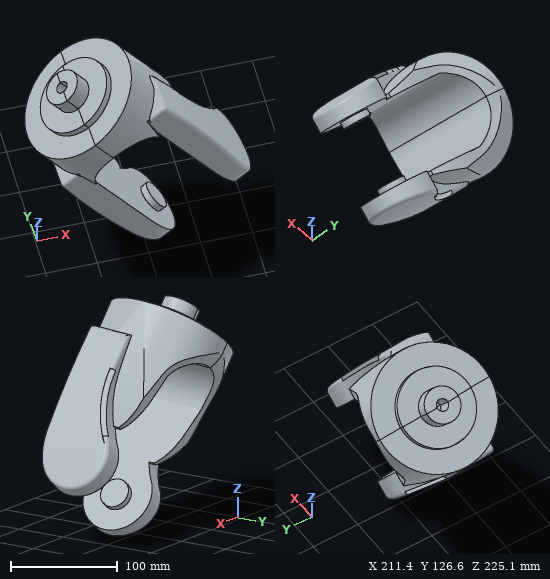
import cadquery as cq
FORK_ORIGIN = (-55.2, 0.2, 75.0)
ACROSS_ARMS = (0.793, 0.058, 0.603)
UP_STEM = (-0.607, 0.05, 0.793)

CROWN_DIAMETER = 125.3
CROWN_RADIUS = CROWN_DIAMETER / 2
FLANGE_DIAMETER = 78.0
FLANGE_HEIGHT = 7.0
STEM_DIAMETER = 36.0
STEM_TOP = 25.0
HOLE_DIAMETER = 12.0

INNER_HALF_GAP = 39.2
ARCH_TOP = -28.5
ARCH_SPRING = -58.5

ARM_FRONT = -44.6
ARM_TOP = -35.2
ARM_BACK = 0.5
WAIST_START = -73.2
WAIST_END = (20.3, -136.3)
TIP_BOTTOM = (-5.6, -195.5)
TIP_FRONT = (-39.0, -173.5)
FRONT_FLAT_END = -145.3

OUTER_TOP = 64.5
OUTER_MIDDLE = 66.0
OUTER_TIP = 55.2
BOW_MIDDLE = -103.7
ARM_FILLET = 4.0

SKIRT_FRONT_BOTTOM = -56.3
SKIRT_BACK = [(59.5, -22.5), (45.0, -47.3), (37.0, -78.9), (29.7, -102.5)]
SKIRT_BOTTOM = (16.7, -120.5)

SKIRT_MIDDLE = (60.8, -36.0)
SKIRT_LOWER_END = (42.8, -122.8)

RELIEF_TOP = (42.8, -35.0)

PIN_DIAMETER = 28.6
PIN_LENGTH = 6.8
PIN_V = -6.0
PIN_W = -160.5

PIN_ROOT = 2.3

LEFT = -1
RIGHT = 1
SPAN = 450.7


def side_extrusion(outline, start, length):
    """Turn a v-w outline into a prism along u, from u = start."""
    return outline.extrude(length).translate((start, 0, 0))


def half_space(side):
    """Everything on one side of the middle plane u = 0."""
    return cq.Workplane("XY").box(SPAN, SPAN, SPAN).translate((side * SPAN / 2, 0, 0))


def skirt_envelope():
    outline = (
        cq.Workplane("YZ")
        .moveTo(-CROWN_RADIUS, 0)
        .lineTo(-CROWN_RADIUS, SKIRT_FRONT_BOTTOM)
        .lineTo(ARM_FRONT, SKIRT_FRONT_BOTTOM)
        .lineTo(ARM_BACK, SKIRT_BOTTOM[1])
        .lineTo(*SKIRT_BOTTOM)
        .spline(SKIRT_BACK[::-1] + [(CROWN_RADIUS, 0)], includeCurrent=True)
        .close()
    )
    return side_extrusion(outline, -SPAN / 2, SPAN)


def skirt_taper():
    middle_u, middle_w = SKIRT_MIDDLE
    end_u, end_w = SKIRT_LOWER_END
    return (
        cq.Workplane("XZ")
        .moveTo(-CROWN_RADIUS, 0)
        .threePointArc((-middle_u, middle_w), (-end_u, end_w))
        .lineTo(end_u, end_w)
        .threePointArc((middle_u, middle_w), (CROWN_RADIUS, 0))
        .close()
        .extrude(SPAN / 2, both=True)
    )


def front_relief():
    top_u, top_w = RELIEF_TOP
    wedge = (
        cq.Workplane("XZ", origin=(0, ARM_FRONT, 0))
        .moveTo(top_u, top_w)
        .lineTo(INNER_HALF_GAP, SKIRT_FRONT_BOTTOM)
        .lineTo(CROWN_RADIUS, SKIRT_FRONT_BOTTOM)
        .lineTo(CROWN_RADIUS, top_w)
        .close()
        .extrude(CROWN_RADIUS)
    )
    return wedge.union(wedge.mirror("YZ"))


def arch_opening():
    return (
        cq.Workplane("XZ")
        .moveTo(-INNER_HALF_GAP, -SPAN / 2)
        .lineTo(-INNER_HALF_GAP, ARCH_SPRING)
        .threePointArc((0, ARCH_TOP), (INNER_HALF_GAP, ARCH_SPRING))
        .lineTo(INNER_HALF_GAP, -SPAN / 2)
        .close()
        .extrude(SPAN / 2, both=True)
    )


def crown():
    body = cq.Workplane("XY").circle(CROWN_RADIUS).extrude(-SPAN / 2)
    skirt = body.intersect(skirt_envelope()).intersect(skirt_taper())
    return skirt.cut(arch_opening()).cut(front_relief())


def stem():
    flange = cq.Workplane("XY").circle(FLANGE_DIAMETER / 2).extrude(FLANGE_HEIGHT)
    post = cq.Workplane("XY").circle(STEM_DIAMETER / 2).extrude(STEM_TOP)
    hole = cq.Workplane("XY").circle(HOLE_DIAMETER / 2).extrude(STEM_TOP)
    return flange.union(post).cut(hole)


def arm(side):
    outline = (
        cq.Workplane("YZ")
        .moveTo(ARM_FRONT, ARM_TOP)
        .lineTo(ARM_BACK, ARM_TOP)
        .lineTo(ARM_BACK, WAIST_START)
        .tangentArcPoint(WAIST_END, relative=False)
        .threePointArc(TIP_BOTTOM, TIP_FRONT)
        .tangentArcPoint((ARM_FRONT, FRONT_FLAT_END), relative=False)
        .close()
    )
    thickness = (
        cq.Workplane("XZ")
        .moveTo(INNER_HALF_GAP, ARM_TOP)
        .lineTo(OUTER_TOP, ARM_TOP)
        .threePointArc((OUTER_MIDDLE, BOW_MIDDLE), (OUTER_TIP, TIP_BOTTOM[1]))
        .lineTo(INNER_HALF_GAP, TIP_BOTTOM[1])
        .close()
        .extrude(SPAN / 2, both=True)
    )
    right = side_extrusion(outline, 0, SPAN).intersect(thickness)
    bow_center = (OUTER_MIDDLE, (ARM_FRONT + ARM_BACK) / 2, BOW_MIDDLE)
    outer_edges = right.faces(cq.selectors.NearestToPointSelector(bow_center)).edges()
    top_front_edge = right.faces(">Z").edges("<Y")
    right = right.newObject(outer_edges.vals() + top_front_edge.vals()).fillet(ARM_FILLET)
    if side == LEFT:
        return right.mirror("YZ")
    return right


def pin(side):
    tip = side * (INNER_HALF_GAP - PIN_LENGTH)
    return (
        cq.Workplane("YZ", origin=(tip, 0, 0))
        .center(PIN_V, PIN_W)
        .circle(PIN_DIAMETER / 2)
        .extrude(side * (PIN_LENGTH + PIN_ROOT))
    )


def fork_half(side):
    """One of the two mirrored fork halves, which meet on the plane u = 0."""
    middle = crown().union(stem()).intersect(half_space(side))
    half = middle.union(arm(side)).union(pin(side))
    return half.val().moved(cq.Location(cq.Plane(FORK_ORIGIN, ACROSS_ARMS, UP_STEM)))


left_half = fork_half(LEFT)
right_half = fork_half(RIGHT)
result = cq.Compound.makeCompound([*left_half.Solids(), *right_half.Solids()])